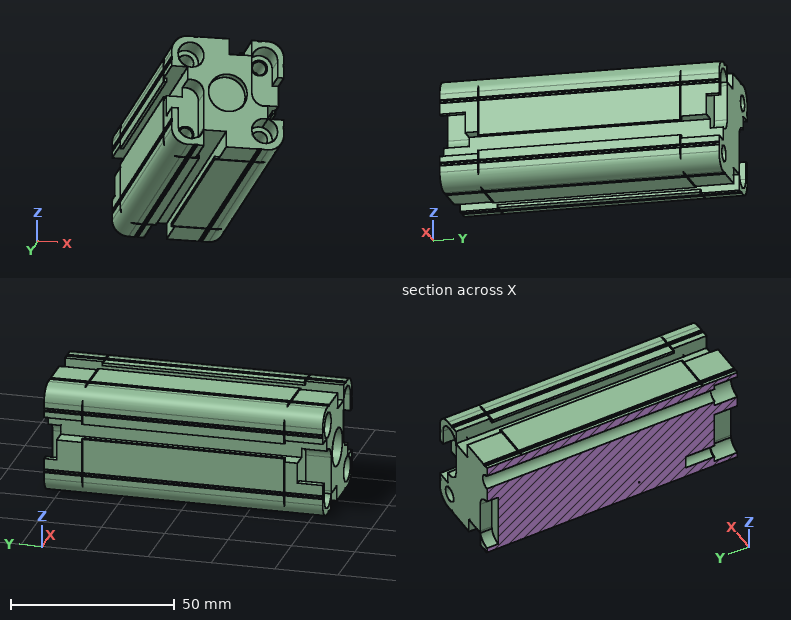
import cadquery as cq

side = 35.0
length = 88.0
corner_radius = 5.0
half_side = side / 2
half_length = length / 2

slot_offset = 4.0
slot_width = 7.0
slot_depth = 5.0
lip_opening = 4.9
lip_thickness = 0.9

cap_length = 12.0
barrel_length = length - 2 * cap_length

joint_width = 0.3
joint_depth = 0.25

line_offset = 10.0
line_width = 1.1
line_floor_width = 0.55
line_depth = 0.2

hole_offset = 11.5
through_diameter = 5.0
recess_diameter = 8.0
recess_radius = recess_diameter / 2
counterbore_depth = 8.0

front_recess_depth = 8.0
rear_recess_depth = 4.0
front_floor = -half_length + front_recess_depth
rear_floor = half_length - rear_recess_depth
recess_end = -0.5
side_opening_start = -6.0
thread_diameter = 5.0
core_diameter = 4.3
thread_depth = 10.0
thread_lead = (thread_diameter - core_diameter) / 2

centre_diameter = 12.0
centre_depth = 3.0

FACE_ANGLES = (0, 90, 180, 270)
HOLE_CORNERS = ((-hole_offset, hole_offset), (hole_offset, -hole_offset))


def turned(shape, angle):
    """Turn a shape about the lengthwise axis."""
    return shape.rotate((0, 0, 0), (0, 1, 0), angle)


def block(x_range, y_range, z_range):
    """Box spanning the given ranges."""
    (x0, x1), (y0, y1), (z0, z1) = x_range, y_range, z_range
    return cq.Workplane("XY").box(x1 - x0, y1 - y0, z1 - z0, centered=False).translate((x0, y0, z0))


def rod(x, z, diameter, y0, y1):
    """Cylinder along Y from y0 to y1 (y0 < y1)."""
    return cq.Workplane("XZ", origin=(x, y0, z)).circle(diameter / 2).extrude(y0 - y1)


def body():
    """Square bar with rounded lengthwise edges."""
    return cq.Workplane("XY").box(side, length, side).edges("|Y").fillet(corner_radius)


def top_slot():
    """Slot in the top face: full width at the caps, narrowed by lips along the barrel."""
    wide = (slot_offset - slot_width / 2, slot_offset + slot_width / 2)
    narrow = (slot_offset - lip_opening / 2, slot_offset + lip_opening / 2)
    along = (-half_length, half_length)
    slot = block(wide, along, (half_side - slot_depth, half_side))
    lips = block(wide, (-barrel_length / 2, barrel_length / 2), (half_side - lip_thickness, half_side))
    opening = block(narrow, along, (half_side - lip_thickness, half_side))
    return slot.cut(lips).union(opening)


def top_joint(end):
    """V groove across the top face at one end of the barrel; end is -1 or 1."""
    outer = end * barrel_length / 2
    return (
        cq.Workplane("YZ", origin=(-half_side, 0, 0))
        .moveTo(outer, half_side)
        .lineTo(outer - end * joint_width / 2, half_side - joint_depth)
        .lineTo(outer - end * joint_width, half_side)
        .close()
        .extrude(side)
    )


def top_line(x):
    """Lengthwise groove with sloped sides in the top face."""
    return (
        cq.Workplane("XZ", origin=(x, half_length, half_side))
        .moveTo(-line_width / 2, 0)
        .lineTo(-line_floor_width / 2, -line_depth)
        .lineTo(line_floor_width / 2, -line_depth)
        .lineTo(line_width / 2, 0)
        .close()
        .extrude(length)
    )


def through_hole(x, z):
    """Bolt hole over the full length, counterbored from the front end."""
    hole = rod(x, z, through_diameter, -half_length, half_length)
    return hole.union(rod(x, z, recess_diameter, -half_length, -half_length + counterbore_depth))


def port_recess(y0, y1):
    """Round-ended recess over the lower left corner, open to the left face."""
    along = (y0, y1)
    start = rod(-hole_offset, -hole_offset, recess_diameter, y0, y1)
    end = rod(-hole_offset, recess_end, recess_diameter, y0, y1)
    middle = block(
        (-hole_offset - recess_radius, -hole_offset + recess_radius), along, (-hole_offset, recess_end)
    )
    opening = block((-half_side, -hole_offset), along, (side_opening_start, slot_offset - slot_width / 2))
    return start.union(end).union(middle).union(opening)


def threaded_hole():
    """Blind hole with a chamfered mouth, going from the front recess floor along +Y."""
    return (
        cq.Workplane("XY", origin=(-hole_offset, front_floor, -hole_offset))
        .lineTo(thread_diameter / 2, 0)
        .lineTo(core_diameter / 2, thread_lead)
        .lineTo(core_diameter / 2, thread_depth)
        .lineTo(0, thread_depth)
        .close()
        .revolve(360, (0, 0), (0, 1))
    )


result = body()

for angle in FACE_ANGLES:
    result = result.cut(turned(top_slot(), angle))
    for end in (-1, 1):
        result = result.cut(turned(top_joint(end), angle))
        result = result.cut(turned(top_line(end * line_offset), angle))

for hole_x, hole_z in HOLE_CORNERS:
    result = result.cut(through_hole(hole_x, hole_z))

for angle in (0, 180):
    result = result.cut(turned(port_recess(-half_length, front_floor), angle))
    result = result.cut(turned(port_recess(rear_floor, half_length), angle))
    result = result.cut(turned(threaded_hole(), angle))

result = result.cut(rod(0, 0, centre_diameter, -half_length, -half_length + centre_depth))